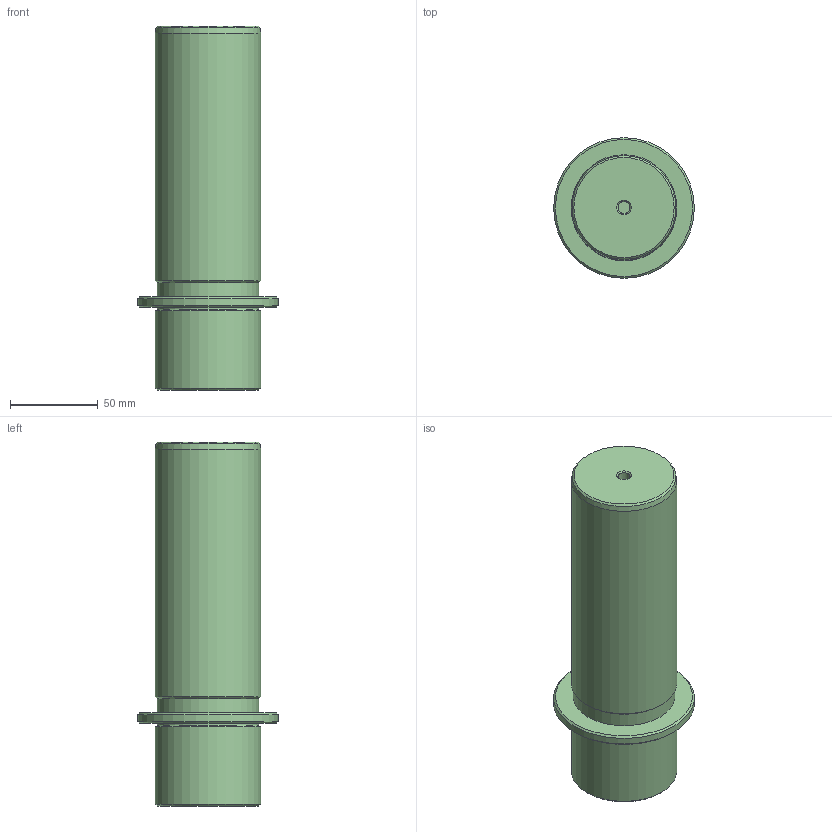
import cadquery as cq

total_height = 207.0
body_radius = 30.0
flange_radius = 40.0
edge_chamfer = 1.0

flange_bottom = 47.0
flange_thickness = 6.0
flange_top = flange_bottom + flange_thickness
lower_relief_width = 1.0
upper_relief_width = 8.0
shank_top = flange_bottom - lower_relief_width
guide_bottom = flange_top + upper_relief_width

relief_radius = body_radius - edge_chamfer

lead_in_height = 4.0
lead_in_radius = 29.5

hole_diameter = 6.8
hole_mouth_diameter = 8.4
hole_depth = 20.0


def turned_body(profile):
    """Revolve a closed (radius, height) half profile about the Z axis."""
    return cq.Workplane("XZ").polyline(profile).close().revolve(360, (0, 0), (0, 1))


def make_pin():
    """Shank, flange and guide column as one turned body."""
    shank = [
        (0, 0),
        (body_radius - edge_chamfer, 0),
        (body_radius, edge_chamfer),
        (body_radius, shank_top - edge_chamfer),
        (relief_radius, shank_top),
        (relief_radius, flange_bottom),
    ]
    flange = [
        (flange_radius - edge_chamfer, flange_bottom),
        (flange_radius, flange_bottom + edge_chamfer),
        (flange_radius, flange_top - edge_chamfer),
        (flange_radius - edge_chamfer, flange_top),
    ]
    guide = [
        (relief_radius, flange_top),
        (relief_radius, guide_bottom),
        (body_radius, guide_bottom + edge_chamfer),
        (body_radius, total_height - lead_in_height),
        (lead_in_radius, total_height - edge_chamfer),
        (lead_in_radius - edge_chamfer, total_height),
        (0, total_height),
    ]
    return turned_body(shank + flange + guide)


def make_hole():
    """Blind hole with a 45 degree countersunk mouth."""
    hole_radius = hole_diameter / 2
    mouth_radius = hole_mouth_diameter / 2
    countersink_depth = mouth_radius - hole_radius
    return turned_body([
        (0, total_height),
        (mouth_radius, total_height),
        (hole_radius, total_height - countersink_depth),
        (hole_radius, total_height - hole_depth),
        (0, total_height - hole_depth),
    ])


result = make_pin().cut(make_hole())